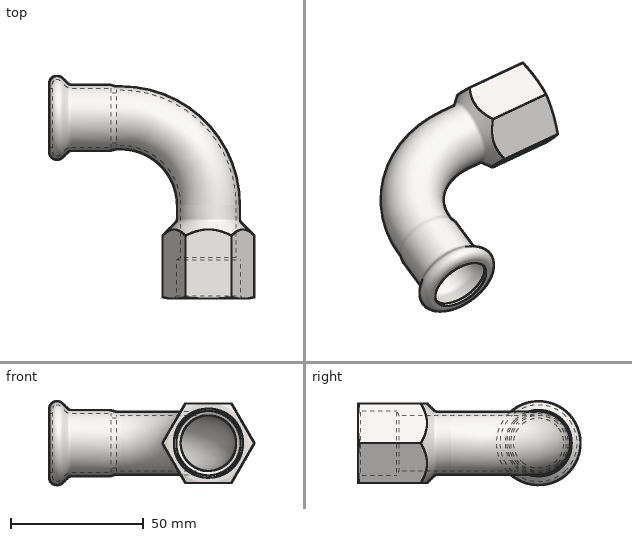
import cadquery as cq
import math


total_length = 83.85
total_width = 77.3

tube_r = 23.8 / 2
tube_bore_r = 20.9 / 2
bend_r = 32.9

socket_r = 25.0 / 2
socket_bore_r = 22.2 / 2
wall = socket_r - socket_bore_r
bead_r = 31.7 / 2
bead_round = 3.0
bead_center_r = bead_r - bead_round
bead_angle = math.radians(45)
bead_fillet = 2.0
neck_start = 22.7
neck_angle = math.radians(16.6)
neck_fillet = 2.5
stop_r = 18.9 / 2
stop_start = 23.4
stop_end = 25.4

across_flats = 30.0
nut_corner_r = across_flats / 2 / math.cos(math.radians(30))
collar_start = 29.9
collar_fillet = 1.9
collar_angle = math.radians(45)
nut_top_angle = math.radians(45)
nut_face_angle = math.radians(12)
thread_r = 24.2 / 2
thread_mouth_r = 26.1 / 2
thread_depth = 14.5
thread_runout_angle = math.radians(60)
thread_runout = (thread_r - tube_bore_r) / math.tan(thread_runout_angle)

socket_x = nut_corner_r - total_width
nut_y = bead_r - total_length
bend_start_x = -bend_r
bend_end_y = -bend_r


def arc_point(center, radius, angle):
    """Point on a circle; the angle is measured from +radial toward +axial."""
    return (center[0] + radius * math.sin(angle), center[1] + radius * math.cos(angle))


def bead_curve(profile, round_radius, fillet_radius, end_r):
    """Continue a profile over the bead, down its cone and into a cylinder of radius end_r."""
    center = (bead_round, bead_center_r)
    crown = arc_point(center, round_radius, 0)
    cone_top = arc_point(center, round_radius, bead_angle)
    cone_bottom_r = end_r + fillet_radius * (1 - math.cos(bead_angle))
    cone_bottom_x = cone_top[0] + (cone_top[1] - cone_bottom_r) / math.tan(bead_angle)
    fillet_center = (cone_bottom_x + fillet_radius * math.sin(bead_angle), end_r + fillet_radius)
    fillet_middle = arc_point(fillet_center, -fillet_radius, bead_angle / 2)
    return (
        profile.threePointArc(crown, cone_top)
        .lineTo(cone_bottom_x, cone_bottom_r)
        .threePointArc(fillet_middle, (fillet_center[0], end_r))
    )


def revolve_socket(profile):
    return profile.close().revolve(360, (0, 0, 0), (1, 0, 0)).translate((socket_x, 0, 0))


def make_socket_body():
    """Bead, pipe socket and the small S-shaped neck down to the tube."""
    end_x = bend_start_x - socket_x
    upper_center = (neck_start, socket_r - neck_fillet)
    cone_top = arc_point(upper_center, neck_fillet, neck_angle)
    cone_bottom_r = tube_r + neck_fillet * (1 - math.cos(neck_angle))
    cone_bottom_x = cone_top[0] + (cone_top[1] - cone_bottom_r) / math.tan(neck_angle)
    lower_center = (cone_bottom_x + neck_fillet * math.sin(neck_angle), tube_r + neck_fillet)

    profile = cq.Workplane("XY").moveTo(0, 0).lineTo(0, bead_center_r)
    profile = bead_curve(profile, bead_round, bead_fillet, socket_r)
    profile = (
        profile.lineTo(neck_start, socket_r)
        .threePointArc(arc_point(upper_center, neck_fillet, neck_angle / 2), cone_top)
        .lineTo(cone_bottom_x, cone_bottom_r)
        .threePointArc(
            arc_point(lower_center, -neck_fillet, neck_angle / 2),
            (lower_center[0], tube_r),
        )
        .lineTo(end_x, tube_r)
        .lineTo(end_x, 0)
    )
    return revolve_socket(profile)


def make_socket_cavity():
    """Pipe bore with a seal groove inside the bead and a pipe stop."""
    end_x = bend_start_x - socket_x
    profile = (
        cq.Workplane("XY")
        .moveTo(0, 0)
        .lineTo(0, socket_bore_r)
        .lineTo(wall, socket_bore_r)
        .lineTo(wall, bead_center_r)
    )
    profile = bead_curve(profile, bead_round - wall, bead_fillet + wall, socket_bore_r)
    profile = (
        profile.lineTo(stop_start, socket_bore_r)
        .lineTo(stop_start, stop_r)
        .lineTo(stop_end, stop_r)
        .lineTo(stop_end, tube_bore_r)
        .lineTo(end_x, tube_bore_r)
        .lineTo(end_x, 0)
    )
    return revolve_socket(profile)


def make_bend(radius):
    """Solid quarter bend from the socket axis to the nut axis."""
    return (
        cq.Workplane("YZ", origin=(bend_start_x, 0, 0))
        .circle(radius)
        .revolve(90, (bend_end_y, 0.8, 0), (bend_end_y, 0, 0))
    )


def revolve_nut(profile):
    return profile.close().revolve(360, (0, 0, 0), (0, 1, 0)).translate((0, nut_y, 0))


def make_nut_body():
    """Straight tube, filleted collar and hexagon with turned corners."""
    tube_end = bend_end_y - nut_y
    collar_y = collar_start - collar_fillet * math.sin(collar_angle)
    collar_r = tube_r + collar_fillet * (1 - math.cos(collar_angle))
    fillet_middle = (
        tube_r + collar_fillet * (1 - math.cos(collar_angle / 2)),
        collar_start - collar_fillet * math.sin(collar_angle / 2),
    )
    shoulder_y = collar_y - (nut_corner_r - collar_r) / math.tan(nut_top_angle)
    face_r = across_flats / 2
    face_drop = (nut_corner_r - face_r) * math.tan(nut_face_angle)

    turned = revolve_nut(
        cq.Workplane("XY")
        .moveTo(0, 0)
        .lineTo(face_r, 0)
        .lineTo(nut_corner_r, face_drop)
        .lineTo(nut_corner_r, shoulder_y)
        .lineTo(collar_r, collar_y)
        .threePointArc(fillet_middle, (tube_r, collar_start))
        .lineTo(tube_r, tube_end)
        .lineTo(0, tube_end)
    )
    hexagon = (
        cq.Workplane("XZ", origin=(0, nut_y, 0))
        .polygon(6, 2 * nut_corner_r)
        .extrude(-tube_end)
    )
    return turned.intersect(hexagon)


def make_nut_cavity():
    """Thread bore with a 45-degree mouth and a conical run-out, leading into the tube bore."""
    mouth_depth = thread_mouth_r - thread_r
    tube_end = bend_end_y - nut_y
    return revolve_nut(
        cq.Workplane("XY")
        .moveTo(0, 0)
        .lineTo(thread_mouth_r, 0)
        .lineTo(thread_r, mouth_depth)
        .lineTo(thread_r, thread_depth)
        .lineTo(tube_bore_r, thread_depth + thread_runout)
        .lineTo(tube_bore_r, tube_end)
        .lineTo(0, tube_end)
    )


body = make_socket_body().union(make_bend(tube_r)).union(make_nut_body())
result = body.cut(make_socket_cavity()).cut(make_bend(tube_bore_r)).cut(make_nut_cavity())